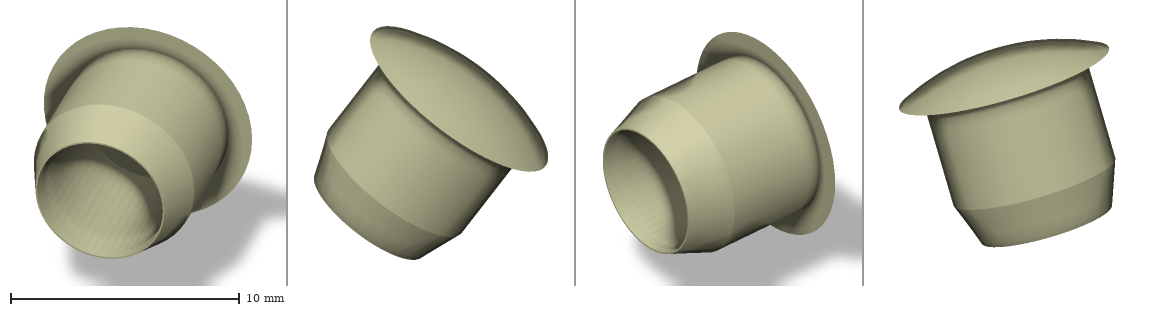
import cadquery as cq

head_radius = 9.6 / 2
dome_height = 1.2
shank_radius = 7.4 / 2
shank_length = 4.8
nose_length = 2.0
tip_radius = 5.95 / 2
bore_radius = 5.8 / 2

nose_start = -shank_length
tip = nose_start - nose_length

sphere_radius = (head_radius**2 + dome_height**2) / (2 * dome_height)
sphere_center = dome_height - sphere_radius
dome_middle_radius = head_radius / 2
dome_middle = sphere_center + (sphere_radius**2 - dome_middle_radius**2) ** 0.5

profile = (
    cq.Workplane("XY")
    .moveTo(0, 0)
    .lineTo(bore_radius, 0)
    .lineTo(bore_radius, tip)
    .lineTo(tip_radius, tip)
    .lineTo(shank_radius, nose_start)
    .lineTo(shank_radius, 0)
    .lineTo(head_radius, 0)
    .threePointArc((dome_middle_radius, dome_middle), (0, dome_height))
    .close()
)

result = profile.revolve(360, (0, 0, 0), (0, 1, 0))